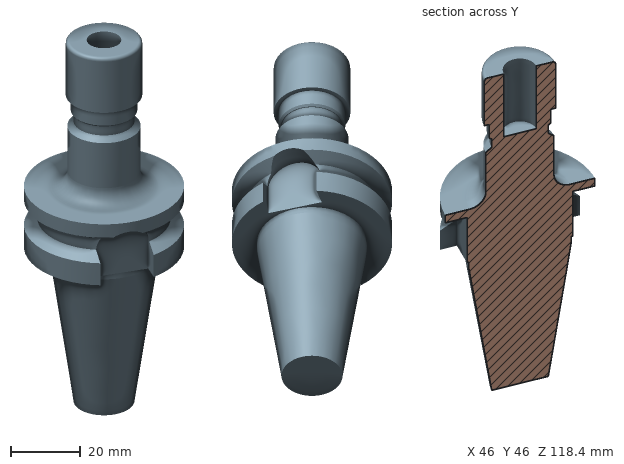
import cadquery as cq

total_height = 118.4
head_bottom = 100.5
collar_bottom = 95.0
neck_bottom = 91.9
flange_top = 70.6
flange_bottom = 50.5
gauge_level = 48.5

taper_tip_radius = 8.8
gauge_radius = 15.9
flange_diameter = 46.0
flange_radius = flange_diameter / 2
groove_radius = 19.2
shaft_radius = 10.5
neck_radius = 8.8
collar_radius = 9.6
head_radius = 11.0
bore_radius = 5.0

shaft_fillet = 5.0
shaft_chamfer_height = 1.5
collar_chamfer = 0.6
head_fillet = 1.1

upper_rim_height = 4.4
groove_flank_height = 2.2
groove_floor_height = 3.9

slot_width = 16.1
slot_top = 67.5
slot_floor_offset = 16.3
bore_depth = 23.7


def make_body():
    """Revolve the complete outer profile about the vertical axis."""
    upper_rim_bottom = flange_top - upper_rim_height
    groove_top = upper_rim_bottom - groove_flank_height
    groove_bottom = groove_top - groove_floor_height
    lower_rim_top = groove_bottom - groove_flank_height
    shaft_top = neck_bottom - shaft_chamfer_height
    profile = (
        cq.Workplane("XZ")
        .lineTo(taper_tip_radius, 0)
        .lineTo(gauge_radius, gauge_level)
        .lineTo(gauge_radius, flange_bottom)
        .lineTo(flange_radius, flange_bottom)
        .lineTo(flange_radius, lower_rim_top)
        .lineTo(groove_radius, groove_bottom)
        .lineTo(groove_radius, groove_top)
        .lineTo(flange_radius, upper_rim_bottom)
        .lineTo(flange_radius, flange_top)
        .lineTo(shaft_radius + shaft_fillet, flange_top)
        .radiusArc((shaft_radius, flange_top + shaft_fillet), shaft_fillet)
        .lineTo(shaft_radius, shaft_top)
        .lineTo(neck_radius, neck_bottom)
        .lineTo(neck_radius, collar_bottom)
        .lineTo(collar_radius - collar_chamfer, collar_bottom)
        .lineTo(collar_radius, collar_bottom + collar_chamfer)
        .lineTo(collar_radius, head_bottom)
        .lineTo(head_radius, head_bottom)
        .lineTo(head_radius, total_height - head_fillet)
        .radiusArc((head_radius - head_fillet, total_height), -head_fillet)
        .lineTo(0, total_height)
        .close()
    )
    return profile.revolve(360, (0, 0, 0), (0, 1, 0))


def make_drive_slot(side):
    """Round-topped slot cutter on the +X (side=1) or -X (side=-1) face."""
    half_width = slot_width / 2
    arc_center = slot_top - half_width
    return (
        cq.Workplane("YZ", origin=(side * slot_floor_offset, 0, 0))
        .moveTo(-half_width, flange_bottom)
        .lineTo(half_width, flange_bottom)
        .lineTo(half_width, arc_center)
        .threePointArc((0, slot_top), (-half_width, arc_center))
        .close()
        .extrude(side * flange_radius)
    )


def make_bore():
    """Blind bore entering from the top of the head."""
    return (
        cq.Workplane("XY", origin=(0, 0, total_height - bore_depth))
        .circle(bore_radius)
        .extrude(bore_depth)
    )


result = make_body().cut(make_bore())
for side in (-1, 1):
    result = result.cut(make_drive_slot(side))